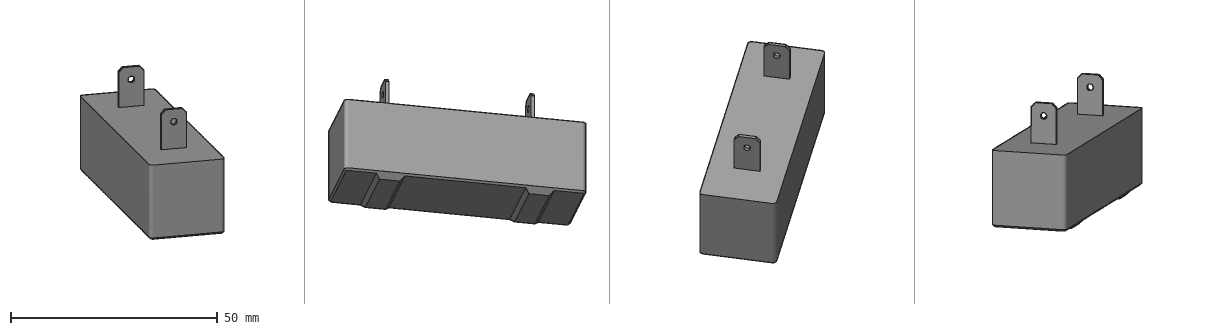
import cadquery as cq

length = 60.0
width = 19.0
body_height = 18.95
corner_radius = 0.95
bottom_chamfer = 0.5

total_height = 30.0
blade_height = 10.0
blade_width = 6.35
blade_thickness = 0.85
blade_chamfer = 1.1
blade_offset = 18.05
blade_hole_diameter = 1.6
hole_below_tip = 3.2

foot_height = total_height - blade_height - body_height
foot_length = 7.1
foot_offset = 18.55
foot_width = width - 2 * bottom_chamfer


def make_body():
    return (
        cq.Workplane("XY")
        .box(length, width, body_height, centered=(True, True, False))
        .translate((0, 0, -body_height))
        .edges("|Z").fillet(corner_radius)
        .faces("<Z").edges().chamfer(bottom_chamfer)
    )


def make_blade(x):
    """Flat blade with clipped tip corners and a through hole."""
    blade = (
        cq.Workplane("XY")
        .box(blade_thickness, blade_width, blade_height, centered=(True, True, False))
        .faces(">Z").edges("|X").chamfer(blade_chamfer)
    )
    hole = (
        cq.Workplane("YZ")
        .center(0, blade_height - hole_below_tip)
        .circle(blade_hole_diameter / 2)
        .extrude(blade_thickness, both=True)
    )
    return blade.cut(hole).translate((x, 0, 0))


def make_foot(x):
    """Tapered foot whose long ends continue the bottom chamfer of the body."""
    return (
        cq.Workplane("XY")
        .workplane(offset=-body_height)
        .center(x, 0)
        .rect(foot_length, foot_width)
        .workplane(offset=-foot_height)
        .rect(foot_length - 2 * foot_height, foot_width - 2 * foot_height)
        .loft(combine=True)
    )


result = make_body()
for side in (-1, 1):
    result = result.union(make_blade(side * blade_offset))
    result = result.union(make_foot(side * foot_offset))